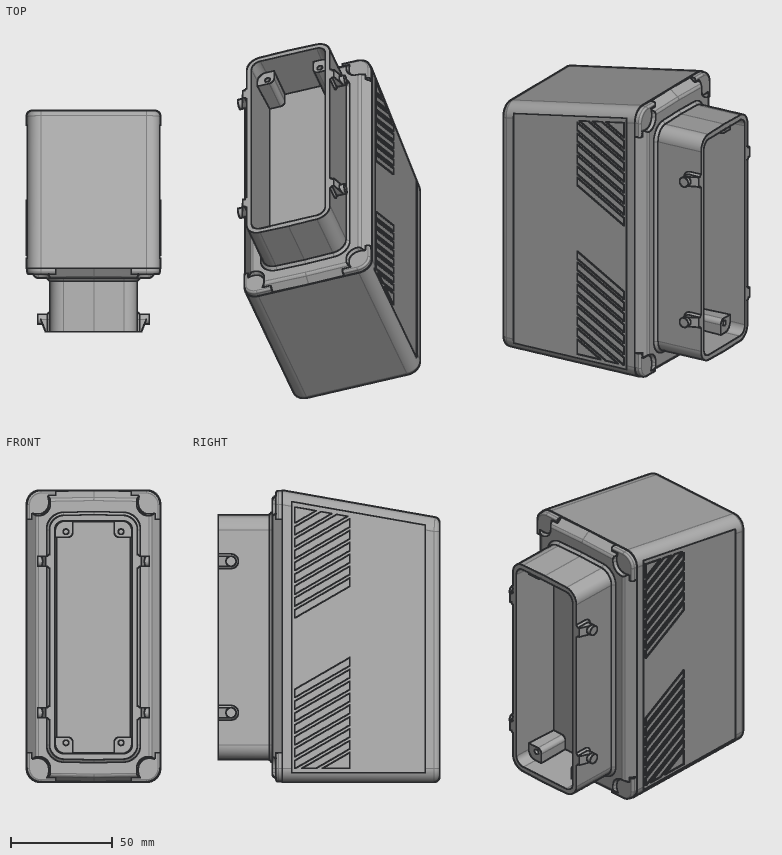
import cadquery as cq
import math


bevel_angle = 45

hood_width = 66.01
hood_height = 143.75
hood_back = 108.97
half_width = hood_width / 2
hood_mid_z = hood_height / 2
hood_corner_radius = 7.0
hood_back_radius = 3.0
roof_angle = 10.0

rim_back = 31.4
rim_front = 26.5
rim_step = 0.3
rim_width = hood_width - 2 * rim_step
rim_height = hood_height - 2 * rim_step
rim_corner_radius = hood_corner_radius - rim_step
rim_edge_radius = 2.0
rim_side_inset = 4.9
rim_top_inset = 4.1
rim_bottom_inset = 3.0
rim_front_radius = 2.1

crown = 0.5

pad_front = 28.4
pad_width = 10.9
pad_height = 11.8
pad_inner_radius = 5.0
pad_lip_length = 14.5
pad_lip_width = 2.6
pad_edge_radius = 1.1
pad_pocket_draft = 25

sleeve_width = 43.2
sleeve_bottom = 11.1
sleeve_top = 131.6
sleeve_height = sleeve_top - sleeve_bottom
sleeve_mid_z = (sleeve_bottom + sleeve_top) / 2
sleeve_radius = 7.0
sleeve_flare = 1.5
wall = 2.5
wall_inside_x = sleeve_width / 2 - wall / 2
cavity_depth = 25.5
mouth_width = sleeve_width - 2 * wall
mouth_height = sleeve_height - 2 * (wall + crown)
mouth_radius = sleeve_radius - wall
cavity_side_draft = 1.0
cavity_end_draft = 0.5

boss_front = 8.4
boss_inner_x = 10.2
boss_bottom = 120.5
boss_radius = 2.5
screw_spacing_x = 27.1
screw_spacing_z = 103.8
screw_diameter = 2.7
screw_depth = 10.0

peg_y = 6.3
peg_radius = 2.5
peg_reach = 27.5
peg_heights = (34.2, 108.7)
peg_foot_flare = 1.1
ramp_mouth_x = 23.6
ramp_peg_x = 26.0

panel_depth = 0.4
panel_front = 36.2
panel_back = 101.7
panel_bottom = 4.43
panel_roof_gap = 4.85
stripe_front = 37.7
stripe_back = 64.8
stripe_bottom = 6.85
stripe_roof_gap = 7.25
stripe_slope = math.radians(30)
stripe_pitch = 5.84
stripe_height = 4.03
lower_stripes_top = 61.4
upper_stripes_bottom = 96.45
stripe_count = 9
end_stripe_height = 3 * stripe_pitch


def roof_z(y):
    """Height of the sloping roof at depth y."""
    return hood_height - (y - rim_back) * math.tan(math.radians(roof_angle))


def side_prism(points, x_start, thickness):
    """Prism of a (y, z) outline, extruded in +X from x_start."""
    return cq.Workplane("YZ").workplane(offset=x_start).polyline(points).close().extrude(thickness)


def block(x_range, y_range, z_range):
    """Box between two limits on each axis."""
    size = [high - low for low, high in (x_range, y_range, z_range)]
    corner = (x_range[0], y_range[0], z_range[0])
    return cq.Workplane(origin=corner).box(*size, centered=False)


def rounded_sketch(width, height, radius):
    return cq.Sketch().rect(width, height).vertices().fillet(radius).reset()


def crowned_sketch(width, height, radius):
    """Rounded rectangle whose top and bottom edges peak by crown at the middle."""
    x = width / 2
    z = height / 2
    shoulder = z - crown
    points = [(-x, -shoulder), (0, -z), (x, -shoulder), (x, shoulder), (0, z), (-x, shoulder)]
    outline = cq.Sketch().polygon(points + points[:1])
    return outline.vertices("<X or >X").fillet(radius).reset()


def sketch_plane(y, mid_z):
    """Plane facing the mouth at depth y, centred on height mid_z."""
    return cq.Workplane("XZ", origin=(0, y, mid_z))


def mirrored_x(shape):
    return shape.union(shape.mirror("YZ"))


def mirrored_corners(shape, mid_z):
    """Copies of a corner feature in all four corners around height mid_z."""
    pair = mirrored_x(shape)
    return pair.union(pair.mirror("XY", (0, 0, mid_z)))


def make_hood():
    """Solid hood with a sloping roof, rounded long edges and rounded back."""
    profile = [
        (rim_back, 0),
        (hood_back, 0),
        (hood_back, roof_z(hood_back)),
        (rim_back, hood_height),
    ]
    hood = side_prism(profile, -half_width, hood_width)
    hood = hood.faces("<X or >X").edges("not |Z").fillet(hood_corner_radius)
    return hood.faces(">Y").edges().fillet(hood_back_radius)


def make_rim():
    """Sloped rim stepped in from the hood and narrowing to a flat front with rounded edges."""
    front_width = hood_width - 2 * rim_side_inset
    front_height = hood_height - rim_top_inset - rim_bottom_inset
    front_shift = (rim_bottom_inset - rim_top_inset) / 2
    back = crowned_sketch(rim_width, rim_height, rim_corner_radius)
    front = crowned_sketch(front_width, front_height, rim_front_radius)
    front = front.moved(cq.Location(cq.Vector(0, front_shift, rim_back - rim_front)))
    rim = sketch_plane(rim_back, hood_mid_z).placeSketch(back, front).loft(ruled=True)
    rim = rim.faces("<Y").edges().fillet(rim_edge_radius)
    return rim.cut(make_pad_pockets())


def make_pad_pockets():
    """Corner recesses in the rim front, with walls leaning outward toward the mouth."""
    outline = rounded_sketch(pad_width, pad_height, pad_inner_radius)
    centre = (half_width - pad_width / 2, pad_front, hood_height - pad_height / 2)
    pocket_plane = cq.Workplane("XZ", origin=centre)
    pocket = pocket_plane.placeSketch(outline).extrude(pad_front - rim_front, taper=-pad_pocket_draft)
    return mirrored_corners(pocket, hood_mid_z)


def make_corner_pads():
    """Rounded pads filling the four corners, each with a lip along both outer edges."""
    depth = (pad_front, rim_back)

    def corner_block(width, height):
        return block((half_width - width, half_width), depth, (hood_height - height, hood_height))

    pad = corner_block(pad_width, pad_height).edges("|Y and <X and <Z").fillet(pad_inner_radius)
    pad = pad.union(corner_block(pad_lip_length, pad_lip_width))
    pad = pad.union(corner_block(pad_lip_width, pad_lip_length))

    outline = rounded_sketch(rim_width, rim_height, rim_corner_radius)
    envelope = sketch_plane(rim_back, hood_mid_z).placeSketch(outline).extrude(rim_back - pad_front)
    envelope = envelope.faces("<Y").edges().fillet(pad_edge_radius)
    return mirrored_corners(pad, hood_mid_z).intersect(envelope)


def make_sleeve():
    """Solid sleeve with a bevelled flare where it leaves the rim."""
    outline = crowned_sketch(sleeve_width, sleeve_height, sleeve_radius)
    sleeve = sketch_plane(rim_back, sleeve_mid_z).placeSketch(outline).extrude(rim_back)

    growth = 2 * sleeve_flare
    flare_outline = crowned_sketch(
        sleeve_width + growth, sleeve_height + growth, sleeve_radius + sleeve_flare
    )
    flare_plane = sketch_plane(rim_front, sleeve_mid_z)
    flare = flare_plane.placeSketch(flare_outline).extrude(sleeve_flare, taper=bevel_angle)
    return sleeve.union(flare)


def make_cavity():
    """Drafted sleeve opening, less the four screw bosses standing on its floor."""
    mouth = rounded_sketch(mouth_width, mouth_height, mouth_radius)
    floor = rounded_sketch(
        mouth_width - 2 * cavity_side_draft, mouth_height - 2 * cavity_end_draft, mouth_radius
    )
    mouth = mouth.moved(cq.Location(cq.Vector(0, 0, cavity_depth)))
    cavity = sketch_plane(cavity_depth, sleeve_mid_z).placeSketch(floor, mouth).loft(ruled=True)

    boss = block(
        (boss_inner_x, sleeve_width / 2),
        (boss_front, cavity_depth),
        (boss_bottom, sleeve_top),
    )
    boss = boss.edges("|Y and <X and <Z").fillet(boss_radius)
    return cavity.cut(mirrored_corners(boss, sleeve_mid_z))


def make_screw_holes():
    plane = sketch_plane(boss_front, sleeve_mid_z)
    centres = plane.rect(screw_spacing_x, screw_spacing_z, forConstruction=True).vertices()
    return centres.circle(screw_diameter / 2).extrude(-screw_depth)


def make_peg(z):
    """Locking peg on the +X side: round pin, ramp to the mouth and flared foot."""
    side_x = sleeve_width / 2
    side_plane = cq.Workplane("YZ", origin=(wall_inside_x, peg_y, z))
    pin = side_plane.circle(peg_radius).extrude(peg_reach - wall_inside_x)

    ramp_outline = [(wall_inside_x, 0), (ramp_mouth_x, 0), (ramp_peg_x, peg_y), (wall_inside_x, peg_y)]
    ramp_plane = cq.Workplane("XY", origin=(0, 0, z - peg_radius))
    ramp = ramp_plane.polyline(ramp_outline).close().extrude(2 * peg_radius)

    foot_length = 2 * (peg_y + peg_radius + peg_foot_flare)
    foot_width = 2 * (peg_radius + peg_foot_flare)
    foot_plane = cq.Workplane("YZ", origin=(side_x, 0, z))
    foot = foot_plane.slot2D(foot_length, foot_width).extrude(peg_foot_flare, taper=bevel_angle)
    in_front_of_mouth = block((0, half_width), (-hood_back, 0), (0, hood_height))
    return pin.union(ramp).union(foot.cut(in_front_of_mouth))


def sloped_outline(front, back, bottom, roof_gap):
    """Side outline whose top runs parallel to the roof, roof_gap below it."""
    return [
        (front, bottom),
        (back, bottom),
        (back, roof_z(back) - roof_gap),
        (front, roof_z(front) - roof_gap),
    ]


def make_stripes():
    """Diagonal stripes above and below the plain middle of the +X panel."""
    floor_x = half_width - panel_depth
    rise = (stripe_back - stripe_front) * math.tan(stripe_slope)
    stripes = cq.Workplane()
    for direction, first_edge in ((-1, lower_stripes_top), (1, upper_stripes_bottom)):
        for k in range(stripe_count):
            near_edge = first_edge + direction * k * stripe_pitch
            is_end = k == stripe_count - 1
            far_edge = near_edge + direction * (end_stripe_height if is_end else stripe_height)
            stripe = [
                (stripe_back, near_edge),
                (stripe_back, far_edge),
                (stripe_front, far_edge - rise),
                (stripe_front, near_edge - rise),
            ]
            stripes.add(side_prism(stripe, floor_x, panel_depth))
    field = sloped_outline(stripe_front, stripe_back, stripe_bottom, stripe_roof_gap)
    return side_prism(field, floor_x, panel_depth).intersect(stripes.combine())


def make_panel_recess():
    """Shallow recess in both sides that leaves the stripes standing."""
    outline = sloped_outline(panel_front, panel_back, panel_bottom, panel_roof_gap)
    recess = side_prism(outline, half_width - panel_depth, panel_depth)
    return mirrored_x(recess.cut(make_stripes()))


result = make_hood().cut(make_panel_recess())
result = result.union(make_rim()).union(make_corner_pads())
result = result.union(make_sleeve())
for peg_z in peg_heights:
    result = result.union(mirrored_x(make_peg(peg_z)))
result = result.cut(make_cavity()).cut(make_screw_holes())